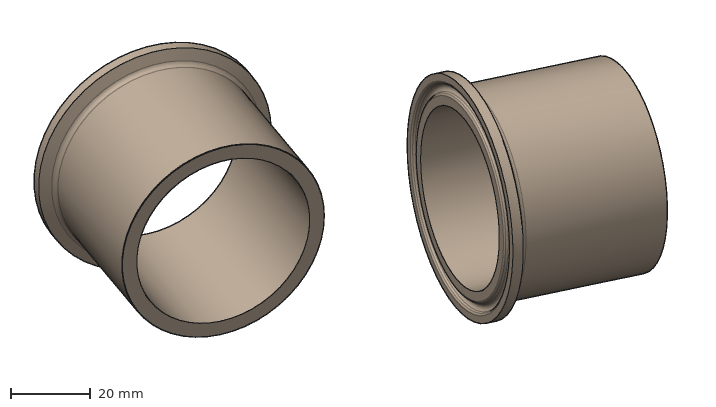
import cadquery as cq
import math

flange_diameter = 63.9
tube_diameter = 55.65
bore_diameter = 47.5
length = 44.5

rim_width = 2.9
back_slope = math.radians(20)
neck_fillet = 1.6
end_chamfer = 0.1

groove_diameter = 56.25
groove_width = 3.7
groove_depth = 1.6
groove_wall_angle = math.radians(25)
lip_radius = 0.65

flange_radius = flange_diameter / 2
tube_radius = tube_diameter / 2
bore_radius = bore_diameter / 2


def revolve_about_x(outline):
    """Turn a closed outline, drawn with x along the axis and y as radius, about X."""
    return outline.close().revolve(360, (0, 0, 0), (1, 0, 0))


def ferrule_body():
    """Tube with the clamp flange at x = 0."""
    corner_x = rim_width + (flange_radius - tube_radius) * math.tan(back_slope)
    turn = math.pi / 2 - back_slope
    tangent_length = neck_fillet * math.tan(turn / 2)
    slope_end = (
        corner_x - tangent_length * math.sin(back_slope),
        tube_radius + tangent_length * math.cos(back_slope),
    )
    fillet_end = (corner_x + tangent_length, tube_radius)
    fillet_middle = (
        fillet_end[0] - neck_fillet * math.sin(turn / 2),
        tube_radius + neck_fillet * (1 - math.cos(turn / 2)),
    )
    outline = (
        cq.Workplane("XY")
        .moveTo(0, bore_radius)
        .lineTo(0, flange_radius)
        .lineTo(rim_width, flange_radius)
        .lineTo(*slope_end)
        .threePointArc(fillet_middle, fillet_end)
        .lineTo(length - end_chamfer, tube_radius)
        .lineTo(length, tube_radius - end_chamfer)
        .lineTo(length, bore_radius)
    )
    return revolve_about_x(outline)


def gasket_groove():
    """Ring to cut: rounded lips, sloped walls and a round floor."""
    centre_radius = groove_diameter / 2
    half_width = groove_width / 2
    turn = math.pi / 2 - groove_wall_angle

    mouth_half_width = half_width - lip_radius * math.tan(turn / 2)
    apex_depth = mouth_half_width / math.tan(groove_wall_angle)
    floor_radius = (apex_depth - groove_depth) / (1 / math.sin(groove_wall_angle) - 1)
    floor_centre_depth = groove_depth - floor_radius

    lip_middle = (
        lip_radius * (1 - math.cos(turn / 2)),
        half_width - lip_radius * math.sin(turn / 2),
    )
    lip_end = (
        lip_radius * (1 - math.cos(turn)),
        half_width - lip_radius * math.sin(turn),
    )
    floor_end = (
        floor_centre_depth + floor_radius * math.sin(groove_wall_angle),
        floor_radius * math.cos(groove_wall_angle),
    )

    def outer(point):
        return (point[0], centre_radius + point[1])

    def inner(point):
        return (point[0], centre_radius - point[1])

    outline = (
        cq.Workplane("XY")
        .moveTo(0, centre_radius + half_width)
        .threePointArc(outer(lip_middle), outer(lip_end))
        .lineTo(*outer(floor_end))
        .threePointArc((groove_depth, centre_radius), inner(floor_end))
        .lineTo(*inner(lip_end))
        .threePointArc(inner(lip_middle), (0, centre_radius - half_width))
    )
    return revolve_about_x(outline)


result = ferrule_body().cut(gasket_groove())